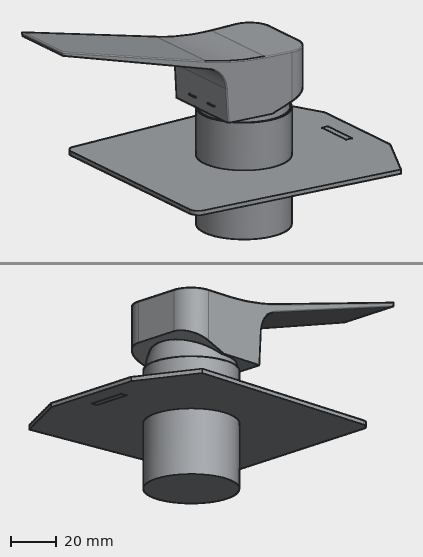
import cadquery as cq
import math

SLEEVE_RADIUS = 21.0
SLEEVE_HEIGHT = 54.0
DOME_RADIUS = 20.2

PLATE_BOTTOM = 30.0
PLATE_THICKNESS = 2.0
PLATE_HALF_LENGTH = 60.0
PLATE_TOP_HALF_WIDTH = 25.3
PLATE_SHOULDER_HALF_WIDTH = 55.0
PLATE_SHOULDER_Y = 45.3
PLATE_FOOT_HALF_WIDTH = 50.0
PLATE_CORNER_RADIUS = 4.7

BADGE_LENGTH = 18.8
BADGE_WIDTH = 3.2
BADGE_Y = 49.2

HANDLE_BACK_Y = 21.2
HANDLE_TIP_Y = -106.8
HANDLE_BACK_HALF_WIDTH = 22.2
HANDLE_TIP_HALF_WIDTH = 15.8
HANDLE_CORNER_RADIUS = 10.3

HANDLE_BOTTOM_Z = 56.8
HANDLE_BACK_BOTTOM_Z = 64.8
HANDLE_TOP_Z = 84.0
HANDLE_TIP_TOP_Z = 105.5
UNDERCUT_START_Y = 0.5
BEND_START_Y = -3.2
BEND_END_Y = -33.3
FRONT_BOTTOM_Y = -22.2
FRONT_LEAN = 3.4
LEVER_TIP_THICKNESS = 2.2
UNDERSIDE_ANGLE = 15.0
UNDERSIDE_RADIUS = 11.7
EDGE_ROUND = 0.5

SLOT_LENGTH = 5.0
SLOT_HEIGHT = 0.5
SLOT_DEPTH = 0.7
SLOT_X = 7.2
SLOT_Z = 61.5


def make_sleeve():
    return cq.Workplane("XY").circle(SLEEVE_RADIUS).extrude(SLEEVE_HEIGHT)


def make_dome():
    """Hemisphere resting on the sleeve, on which the handle swivels."""
    return (
        cq.Workplane("XZ")
        .moveTo(0, SLEEVE_HEIGHT)
        .lineTo(DOME_RADIUS, SLEEVE_HEIGHT)
        .radiusArc((0, SLEEVE_HEIGHT + DOME_RADIUS), -DOME_RADIUS)
        .close()
        .revolve(360, (0, 0, 0), (0, 1, 0))
    )


def make_badge():
    return (
        cq.Workplane("XY", origin=(0, BADGE_Y, PLATE_BOTTOM))
        .rect(BADGE_LENGTH, BADGE_WIDTH)
        .extrude(PLATE_THICKNESS)
    )


def make_plate(sleeve, badge):
    """Tapered plate with openings for the sleeve and the badge."""
    right_side = [
        (PLATE_TOP_HALF_WIDTH, PLATE_HALF_LENGTH),
        (PLATE_SHOULDER_HALF_WIDTH, PLATE_SHOULDER_Y),
        (PLATE_FOOT_HALF_WIDTH, -PLATE_HALF_LENGTH),
    ]
    left_side = [(-x, y) for x, y in reversed(right_side)]
    plate = (
        cq.Workplane("XY", origin=(0, 0, PLATE_BOTTOM))
        .polyline(right_side + left_side)
        .close()
        .extrude(PLATE_THICKNESS)
    )
    plate = plate.edges("|Z").edges("<Y").fillet(PLATE_CORNER_RADIUS)
    return plate.cut(sleeve).cut(badge)


def handle_side_profile():
    """Profile of the grip block and lever in the YZ plane, extruded across the full width."""
    tangent_meet_y = (BEND_START_Y + BEND_END_Y) / 2
    lever_angle = math.atan2(HANDLE_TIP_TOP_Z - HANDLE_TOP_Z, tangent_meet_y - HANDLE_TIP_Y)
    bend_span = BEND_START_Y - BEND_END_Y
    bend_radius = bend_span / math.sin(lever_angle)
    bend_end_z = HANDLE_TOP_Z + bend_radius * (1 - math.cos(lever_angle))
    bend_mid = (
        BEND_START_Y - bend_radius * math.sin(lever_angle / 2),
        HANDLE_TOP_Z + bend_radius * (1 - math.cos(lever_angle / 2)),
    )

    tip_bottom_y = HANDLE_TIP_Y + LEVER_TIP_THICKNESS * math.sin(lever_angle)
    tip_bottom_z = HANDLE_TIP_TOP_Z - LEVER_TIP_THICKNESS * math.cos(lever_angle)

    underside_slope = math.tan(math.radians(UNDERSIDE_ANGLE))
    lean_slope = math.tan(math.radians(FRONT_LEAN))
    underside_z_at_front = tip_bottom_z - (FRONT_BOTTOM_Y - tip_bottom_y) * underside_slope
    rise = (underside_z_at_front - HANDLE_BOTTOM_Z) / (1 - lean_slope * underside_slope)
    inner_corner = (FRONT_BOTTOM_Y - rise * lean_slope, HANDLE_BOTTOM_Z + rise)

    return (
        cq.Workplane("YZ")
        .moveTo(HANDLE_BACK_Y, HANDLE_BOTTOM_Z)
        .lineTo(HANDLE_BACK_Y, HANDLE_TOP_Z)
        .lineTo(BEND_START_Y, HANDLE_TOP_Z)
        .threePointArc(bend_mid, (BEND_END_Y, bend_end_z))
        .lineTo(HANDLE_TIP_Y, HANDLE_TIP_TOP_Z)
        .lineTo(tip_bottom_y, tip_bottom_z)
        .lineTo(*inner_corner)
        .lineTo(FRONT_BOTTOM_Y, HANDLE_BOTTOM_Z)
        .close()
        .extrude(HANDLE_BACK_HALF_WIDTH, both=True)
        .edges(cq.selectors.NearestToPointSelector((0, *inner_corner)))
        .fillet(UNDERSIDE_RADIUS)
    )


def handle_plan():
    """Tapered outline in the XY plane with rounded back corners."""
    return (
        cq.Workplane("XY")
        .moveTo(-HANDLE_BACK_HALF_WIDTH, HANDLE_BACK_Y)
        .lineTo(HANDLE_BACK_HALF_WIDTH, HANDLE_BACK_Y)
        .lineTo(HANDLE_TIP_HALF_WIDTH, HANDLE_TIP_Y)
        .lineTo(-HANDLE_TIP_HALF_WIDTH, HANDLE_TIP_Y)
        .close()
        .extrude(HANDLE_TIP_TOP_Z)
        .edges("|Z")
        .edges(">Y")
        .fillet(HANDLE_CORNER_RADIUS)
    )


def make_undercut():
    """Wedge that clears the back of the handle so that it can tip."""
    return (
        cq.Workplane("YZ")
        .moveTo(UNDERCUT_START_Y, HANDLE_BOTTOM_Z)
        .lineTo(HANDLE_BACK_Y, HANDLE_BACK_BOTTOM_Z)
        .lineTo(HANDLE_BACK_Y, HANDLE_BOTTOM_Z)
        .close()
        .extrude(HANDLE_BACK_HALF_WIDTH, both=True)
    )


def round_handle_edges(handle):
    """Round the rim of the top, the tip, the lever's underside and the front corners."""
    side_edges = handle.edges("not (|X or |Z or <Z)")
    back_edge = handle.faces(">Y").edges(">Z")
    tip_edges = handle.faces("<Y").edges("|X")
    return side_edges.add(back_edge).add(tip_edges).fillet(EDGE_ROUND)


def make_slot(x):
    front_y = FRONT_BOTTOM_Y - (SLOT_Z - HANDLE_BOTTOM_Z) * math.tan(math.radians(FRONT_LEAN))
    slot = cq.Workplane("XY").box(SLOT_LENGTH, 2 * SLOT_DEPTH, SLOT_HEIGHT)
    return slot.translate((x, front_y, SLOT_Z))


def make_handle(dome):
    """Lever handle with rounded edges, marker slots and a socket for the dome."""
    handle = handle_side_profile().intersect(handle_plan())
    handle = round_handle_edges(handle).cut(make_undercut())
    for x in (-SLOT_X, SLOT_X):
        handle = handle.cut(make_slot(x))
    return handle.cut(dome)


sleeve = make_sleeve()
dome = make_dome()
badge = make_badge()
plate = make_plate(sleeve, badge)
handle = make_handle(dome)

bodies = [sleeve, dome, badge, plate, handle]
result = cq.Compound.makeCompound([body.solids().val() for body in bodies])